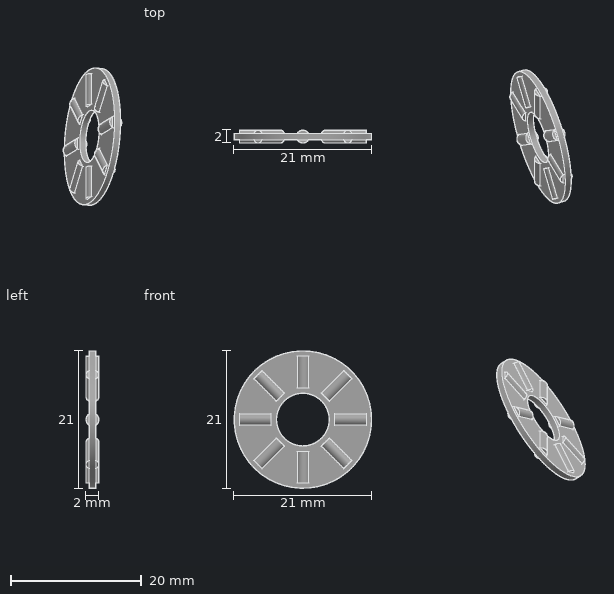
import cadquery as cq

cage_diameter = 21.0
bore_diameter = 8.0
cage_thickness = 1.0

roller_count = 8
roller_diameter = 2.0
roller_inner_radius = 4.85
roller_outer_radius = 9.7
roller_length = roller_outer_radius - roller_inner_radius
roller_pitch_angle = 360.0 / roller_count


def make_roller(angle):
    """Return one roller, turned about the Y axis from the +X direction."""
    roller = (
        cq.Workplane("YZ", origin=(roller_inner_radius, 0, 0))
        .circle(roller_diameter / 2)
        .extrude(roller_length)
    )
    return roller.rotate((0, 0, 0), (0, 1, 0), angle)


def make_cage(rollers):
    """Return the ring with a pocket that matches each roller."""
    cage = (
        cq.Workplane("XZ", origin=(0, cage_thickness / 2, 0))
        .circle(cage_diameter / 2)
        .circle(bore_diameter / 2)
        .extrude(cage_thickness)
    )
    for roller in rollers:
        cage = cage.cut(roller)
    return cage


rollers = [make_roller(i * roller_pitch_angle) for i in range(roller_count)]
cage = make_cage(rollers)

result = cq.Compound.makeCompound([cage.val(), *[roller.val() for roller in rollers]])